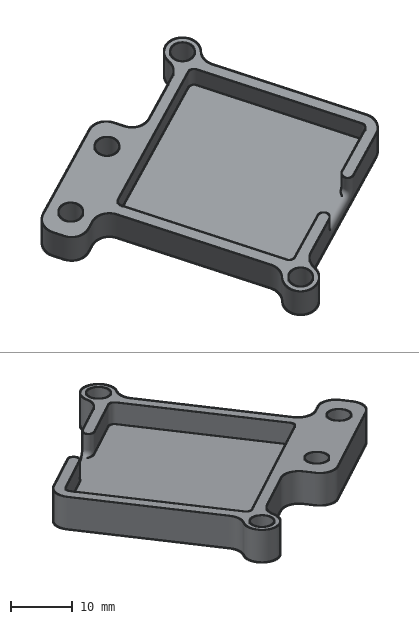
import cadquery as cq

overall_x = 46.5
height = 6.0
floor_thickness = 2.0

tray_side = 35.0
wall = 2.0
corner_radius = 1.5 * wall
pocket_radius = wall / 2

hole_diameter = 4.0
ear_radius = corner_radius
ear_offset = wall / 4

tray_right = overall_x - ear_radius - ear_offset
tray_left = tray_right - tray_side
tray_bottom = 7.5
tray_top = tray_bottom + tray_side
pad_width = tray_left
pad_length = 25.0
pad_hole_x = pad_width / 2
pad_hole_ys = (5.0, 20.0)

notch_width = 8.0
notch_radius = wall / 2
edge_clearance = 0.005
edge_radius = wall / 2 - edge_clearance
notch_y = tray_bottom + tray_side / 2
insert_length = 2 * notch_width

ear_centers = (
    (tray_left - ear_offset, tray_top + ear_offset),
    (tray_right + ear_offset, tray_bottom - ear_offset),
)
hole_centers = ear_centers + tuple((pad_hole_x, y) for y in pad_hole_ys)


def block(x0, x1, y0, y1, z0, z1):
    """Box between the given limits."""
    return cq.Workplane("XY").box(x1 - x0, y1 - y0, z1 - z0, centered=False).translate((x0, y0, z0))


def make_ear(center, seam_angle):
    """Round ear, turned so that the seam of its cylinder lies inside the tray."""
    ear = cq.Workplane("XY").circle(ear_radius).extrude(height)
    return ear.rotate((0, 0, 0), (0, 0, 1), seam_angle).translate((*center, 0))


def make_body():
    """Tray, pad and ears with all upright corners rounded or blended."""
    body = block(tray_left, tray_right, tray_bottom, tray_top, 0, height)
    body = body.union(block(0, pad_width, 0, pad_length, 0, height))
    for center, seam_angle in zip(ear_centers, (-45, 135)):
        body = body.union(make_ear(center, seam_angle))
    return body.edges("|Z").fillet(corner_radius)


def make_pocket():
    pocket = block(
        tray_left + wall, tray_right - wall,
        tray_bottom + wall, tray_top - wall,
        floor_thickness, height,
    )
    return pocket.edges("|Z").fillet(pocket_radius)


def make_notched_wall():
    """Stretch of the right wall with a U-shaped notch, rounded along both rims."""
    inner_x = tray_right - wall
    y0 = notch_y - insert_length / 2
    y1 = notch_y + insert_length / 2
    notch_y0 = notch_y - notch_width / 2
    notch_y1 = notch_y + notch_width / 2

    insert = block(inner_x, tray_right, y0, y1, 0, height)
    notch = block(inner_x, tray_right, notch_y0, notch_y1, floor_thickness, height)
    notch = notch.edges("|X and <Z").fillet(notch_radius)
    insert = insert.cut(notch)

    margin = wall / 10
    rim = cq.selectors.BoxSelector(
        (inner_x - margin, notch_y0 - margin, floor_thickness - margin),
        (tray_right + margin, notch_y1 + margin, height - margin),
    )
    insert = insert.faces("<X or >X").edges(rim).fillet(edge_radius)

    return insert.union(block(inner_x, tray_right - wall / 2, y0, y1, 0, floor_thickness))


def make_holes():
    return cq.Workplane("XY").pushPoints(hole_centers).circle(hole_diameter / 2).extrude(height)


wall_gap = block(
    tray_right - wall, tray_right,
    notch_y - insert_length / 2, notch_y + insert_length / 2,
    0, height,
)

result = make_body().cut(make_pocket()).cut(wall_gap).union(make_notched_wall()).cut(make_holes())